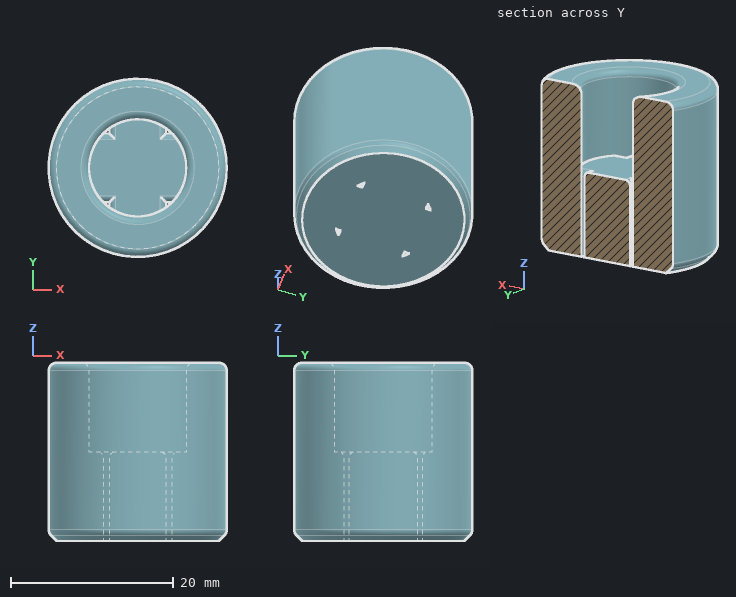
import cadquery as cq
import math

outer_diameter = 22.0
height = 22.0
bore_diameter = 12.0
edge_radius = 1.0
bottom_inset = 1.0
floor_height = 11.0
x_bar_width = 8.5
y_bar_width = 7.0
bar_edge_radius = 0.75

outer_radius = outer_diameter / 2
bore_radius = bore_diameter / 2


def make_sleeve():
    """Revolve the wall section: rounded rim, plain bore, blended 45-degree bottom chamfer."""
    diagonal = math.sqrt(0.5)
    blend_inset = edge_radius * (1 - diagonal)
    chamfer_height = bottom_inset - blend_inset
    blend_top = chamfer_height + edge_radius * diagonal
    rim_base = height - edge_radius
    return (
        cq.Workplane("XZ")
        .moveTo(bore_radius, 0)
        .lineTo(outer_radius - bottom_inset, 0)
        .lineTo(outer_radius - blend_inset, chamfer_height)
        .radiusArc((outer_radius, blend_top), -edge_radius)
        .lineTo(outer_radius, rim_base)
        .radiusArc((outer_radius - edge_radius, height), -edge_radius)
        .lineTo(bore_radius + edge_radius, height)
        .radiusArc((bore_radius, rim_base), -edge_radius)
        .close()
        .revolve(360, (0, 0, 0), (0, 1, 0))
    )


def make_bar(size_x, size_y, long_edges):
    """Upright bar with its two long top edges rounded."""
    bar = cq.Workplane("XY").box(size_x, size_y, floor_height, centered=(True, True, False))
    return bar.faces(">Z").edges(long_edges).fillet(bar_edge_radius)


def make_cross():
    """Two crossing bars, trimmed within the wall so that they join the bore."""
    bar_length = bore_diameter + 2 * edge_radius
    trim = cq.Workplane("XY").circle(bar_length / 2).extrude(floor_height)
    x_bar = make_bar(bar_length, x_bar_width, "|X")
    y_bar = make_bar(y_bar_width, bar_length, "|Y")
    return x_bar.union(y_bar).intersect(trim)


result = make_sleeve().union(make_cross())